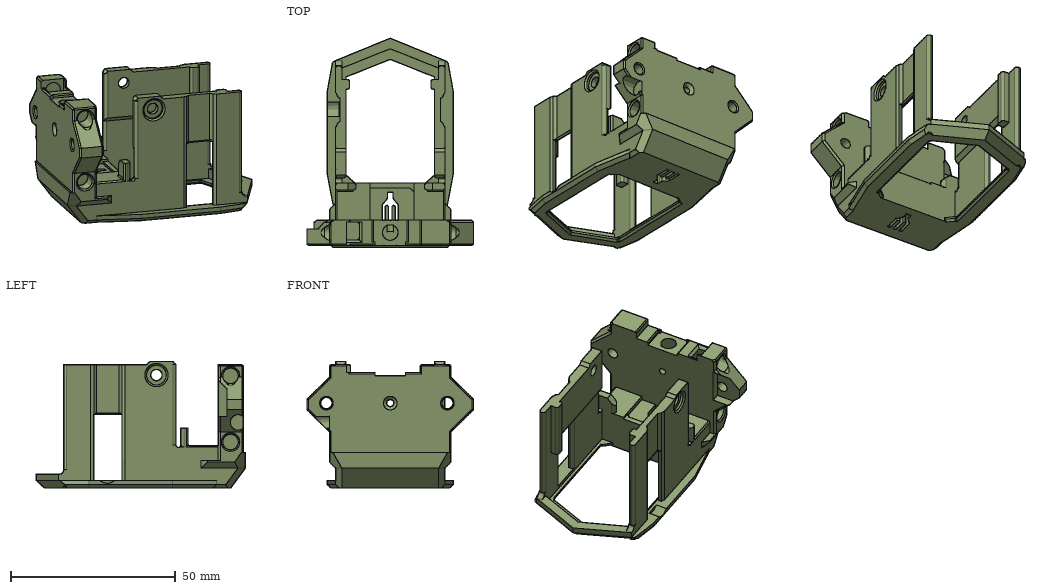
import cadquery as cq
import math


length = 63.8
width = 50.85
wing_half_width = width / 2
total_height = 38.6

wall_outer = 16.65
wall_inner = 14.75
wall_inner_thick = 13.45
wall_front = 21.1
wall_rear = 55.4
wall_top = 37.65
thick_rear = 51.25
thick_bottom = 22.45
wall_edge_radius = 0.95
thin_edge_radius = 0.9
slot_bottom = 12.4

ring_half_width = 19.2
ring_top = 2.35
ring_bevel = 1.1
ledge_top = 1.3
ledge_inner = 13.8
opening_bevel = 0.65
beam_top = 4.3
beam_end_y = 57.0

head_front = 0.65
head_rear = 8.3
head_half_width = 18.5
head_top = wall_top
nose_top = 10.85
nose_break = 6.05
nose_setback = 4.45
edge_break = 0.45
hole_z = 25.9

deck_top = 12.95
deck_rear = 19.7


def box(x, y, z):
    """Box spanning the three (low, high) ranges."""
    size = [high - low for low, high in (x, y, z)]
    return cq.Workplane("XY").box(*size, centered=False).translate((x[0], y[0], z[0]))


def plan(points, bottom, top):
    """Prism of an XY outline between two heights."""
    return cq.Workplane("XY", origin=(0, 0, bottom)).polyline(points).close().extrude(top - bottom)


def profile(points, front, rear):
    """Prism of an XZ outline between two Y positions."""
    return cq.Workplane("XZ", origin=(0, front, 0)).polyline(points).close().extrude(front - rear)


def side_profile(points, left, right):
    """Prism of a YZ outline between two X positions."""
    return cq.Workplane("YZ", origin=(left, 0, 0)).polyline(points).close().extrude(right - left)


def symmetric(points):
    """Close a right-hand outline with its mirror image across X = 0."""
    return points + [(-x, v) for x, v in reversed(points) if x > 0]


def both_sides(solid):
    """A right-hand solid together with its mirror image."""
    return solid.union(solid.mirror("YZ"))


def rod(diameter, start, end):
    """Cylinder between two points."""
    axis = cq.Vector(*end) - cq.Vector(*start)
    solid = cq.Solid.makeCylinder(diameter / 2, axis.Length, cq.Vector(*start), axis)
    return cq.Workplane(obj=solid)


def cone(start_diameter, end_diameter, start, end):
    """Conical frustum between two points."""
    axis = cq.Vector(*end) - cq.Vector(*start)
    solid = cq.Solid.makeCone(start_diameter / 2, end_diameter / 2, axis.Length, cq.Vector(*start), axis)
    return cq.Workplane(obj=solid)


def bevelled_plate(points, bevel, top):
    """Plate whose lower outer edge is bevelled at 45 degrees."""
    lower = cq.Workplane("XY", origin=(0, 0, bevel)).polyline(points).close().extrude(-bevel, taper=45)
    return lower.union(plan(points, bevel, top))


def base_ring():
    """Flat ring with a raised rear beam, bevelled all round on the underside."""
    deck_taper_y = 8.8
    outline = symmetric([
        (wall_outer, deck_taper_y),
        (ring_half_width, 22.2),
        (ring_half_width, 47.7),
        (17.7, 56.15),
        (17.3, 56.65),
        (0, length),
    ])
    beam_outline = symmetric([(wall_outer, 48.5), (wall_outer, beam_end_y), (0, length)])
    beam_slope = (length - beam_end_y) / wall_outer
    reach = 1.5 * ring_half_width
    envelope = symmetric([(reach, 0), (reach, length - beam_slope * reach), (0, length)])
    opening = symmetric([
        (10.85, deck_rear),
        (wall_inner_thick, 22.1),
        (ledge_inner, 22.1),
        (ledge_inner, thick_rear),
        (wall_inner_thick, thick_rear),
        (wall_inner_thick, 51.95),
        (0, 57.3),
    ])
    upper_opening = symmetric([(wall_inner, deck_rear), (wall_inner, 54.7), (0, 60.55)])
    ring = bevelled_plate(outline, ring_bevel, ring_top)
    ring = ring.union(plan(beam_outline, ring_bevel, beam_top))
    ring = ring.intersect(bevelled_plate(envelope, ring_top, beam_top))
    ring = ring.cut(plan(opening, 0, beam_top))
    wide_opening = cq.Workplane("XY").polyline(opening).close().offset2D(opening_bevel, "intersection")
    wide_opening = wide_opening.extrude(opening_bevel, taper=45)
    ring = ring.cut(wide_opening)
    return ring.cut(plan(upper_opening, ledge_top, beam_top))


def ring_groove():
    """Shallow round groove across the left edge of the ring."""
    diameter = 6.5
    depth = 0.9
    centre_z = ring_top - depth + diameter / 2
    centre_y = 42.1
    inner_end = -15.7
    return rod(diameter, (-ring_half_width, centre_y, centre_z), (inner_end, centre_y, centre_z))


def side_wall():
    """Right-hand wall: thin below and at the rear, thickened inward above."""
    thin = box((wall_inner, wall_outer), (wall_front, wall_rear), (0, wall_top))
    thin = thin.edges("|Z").edges("<Y").fillet(thin_edge_radius)
    thin = thin.edges("|Z").edges(">Y").fillet(thin_edge_radius)
    crest_rear = 30.1
    crest_slope = total_height - wall_top
    thick = side_profile(
        [
            (wall_front, thick_bottom),
            (wall_front, wall_top),
            (wall_front + crest_slope, total_height),
            (crest_rear - crest_slope, total_height),
            (crest_rear, wall_top),
            (thick_rear, wall_top),
            (thick_rear, thick_bottom),
        ],
        wall_inner_thick,
        wall_outer,
    )
    thick = thick.edges("|Z and <Y").fillet(wall_edge_radius)
    overhang = wall_inner - wall_inner_thick
    underside = profile(
        [
            (wall_inner_thick, thick_bottom),
            (wall_inner, thick_bottom),
            (wall_inner_thick, thick_bottom + overhang),
        ],
        wall_front,
        thick_rear,
    )
    rib_bottom = 18.95
    rib_front = 48.2
    rib_inner = 12.4
    rib_radius = 0.75
    rib = box((rib_inner, wall_inner), (rib_front, thick_rear), (rib_bottom, wall_top))
    rib = rib.edges("|Z and <X").fillet(rib_radius)
    slot_width = wall_front - deck_rear
    slot_y = (wall_front + deck_rear) / 2
    slot_z = slot_bottom + slot_width / 2
    sill = box((wall_inner, wall_outer), (deck_rear, wall_front + wall_edge_radius), (0, slot_z))
    sill = sill.cut(rod(slot_width, (wall_inner, slot_y, slot_z), (wall_outer, slot_y, slot_z)))
    return thin.union(thick.cut(underside)).union(rib).union(sill).union(root_fillet())


def root_fillet():
    """Concave fillet where the wall end meets the rear beam."""
    radius = 1.4
    return (
        cq.Workplane("YZ", origin=(wall_inner, 0, 0))
        .moveTo(wall_rear, beam_top - 0.65)
        .lineTo(wall_rear + radius, beam_top - 0.65)
        .lineTo(wall_rear + radius, beam_top)
        .radiusArc((wall_rear, beam_top + radius), radius)
        .lineTo(wall_rear - thin_edge_radius, beam_top + radius)
        .lineTo(wall_rear - thin_edge_radius, beam_top - 0.65)
        .close()
        .extrude(wall_outer - wall_inner)
    )


def wall_recess():
    """Outer recess with rounded flanks, opening into a window below the thick part of the wall."""
    centre_y = 41.9
    window_half = 4.3
    floor_x = 15.4
    flank_radius = 1.4
    arc_run = flank_radius * math.sin(math.radians(45))
    shoulder_x = wall_outer - flank_radius * (1 - math.cos(math.radians(45)))
    mouth_half = window_half + arc_run
    floor_half = window_half - (shoulder_x - floor_x)
    recess = (
        cq.Workplane("XY", origin=(0, centre_y, ring_top))
        .moveTo(wall_outer, mouth_half)
        .radiusArc((shoulder_x, window_half), -flank_radius)
        .lineTo(floor_x, floor_half)
        .lineTo(floor_x, -floor_half)
        .lineTo(shoulder_x, -window_half)
        .radiusArc((wall_outer, -mouth_half), -flank_radius)
        .close()
        .extrude(wall_top - ring_top)
    )
    jamb_radius = 0.9
    window = (
        cq.Workplane("XY", origin=(0, centre_y, ring_top))
        .moveTo(wall_outer, window_half)
        .lineTo(wall_inner + jamb_radius, window_half)
        .radiusArc((wall_inner, window_half + jamb_radius), jamb_radius)
        .lineTo(wall_inner, -window_half - jamb_radius)
        .radiusArc((wall_inner + jamb_radius, -window_half), jamb_radius)
        .lineTo(wall_outer, -window_half)
        .close()
        .extrude(thick_bottom - ring_top)
    )
    lip = profile(
        [(floor_x, thick_bottom), (floor_x, thick_bottom + edge_break), (floor_x - edge_break, thick_bottom)],
        centre_y - window_half,
        centre_y + window_half,
    )
    return recess.union(window).union(lip)


def wall_hole():
    """Through hole with a shallow chamfered counterbore on the outer face."""
    centre = (27.1, 34.45)
    hole_diameter = 3.4
    counterbore_diameter = 6.0
    mouth_diameter = 7.1
    counterbore_depth = 1.3
    chamfer = 0.5
    hole = rod(hole_diameter, (wall_inner_thick, *centre), (wall_outer, *centre))
    counterbore = rod(
        counterbore_diameter, (wall_outer - counterbore_depth, *centre), (wall_outer, *centre)
    )
    mouth = cone(
        counterbore_diameter, mouth_diameter, (wall_outer - chamfer, *centre), (wall_outer, *centre)
    )
    return hole.union(counterbore).union(mouth)


def nose_corner():
    """Cutter that bevels a front corner of the nose and widens downward."""
    bevel_x = 14.75
    depth_per_width = 1.2
    reach = 5.75
    bevel_y = reach * depth_per_width
    top_x = 17.5

    def triangle(work, x, y):
        return work.polyline([(x, y), (x + reach, y), (x + reach, y + bevel_y)]).close()

    lower = triangle(cq.Workplane("XY"), bevel_x, nose_setback)
    lower = triangle(lower.workplane(offset=nose_break), bevel_x, 0).loft(ruled=True)
    upper = triangle(cq.Workplane("XY", origin=(0, 0, nose_break)), bevel_x, 0)
    upper = triangle(upper.workplane(offset=nose_top - nose_break), top_x, 0).loft(ruled=True)
    return lower.union(upper)


def nose_and_deck():
    """Solid block under the deck with the sloped nose and the wider flange under the head."""
    flange_top = 8.4
    flange_rear = 11.6
    flange_drop = head_half_width - wall_outer
    nose_side = [(0, nose_top), (0, nose_break), (nose_setback, 0)]
    body = side_profile(
        nose_side + [(deck_rear, 0), (deck_rear, deck_top), (head_rear, deck_top), (head_rear, nose_top)],
        -wall_outer,
        wall_outer,
    )
    body = body.edges("|Y and >Z").edges("<X or >X").chamfer(edge_break)
    body = body.edges("|Y and <Z").edges("<X or >X").chamfer(ring_bevel)
    flange = plan(
        symmetric([
            (head_half_width, 0),
            (head_half_width, flange_rear),
            (wall_outer, flange_rear + flange_drop),
        ]),
        nose_break,
        flange_top,
    )
    flange = flange.intersect(profile(
        symmetric([
            (wall_outer, nose_break),
            (head_half_width, nose_break + flange_drop),
            (head_half_width, flange_top),
        ]),
        0,
        deck_rear,
    ))
    cheek = box((-head_half_width, head_half_width), (0, head_rear - 0.65), (flange_top, nose_top))
    return body.union(flange).union(cheek)


def deck_tab():
    """Upright tab at the rear corner of the deck, with a sloped inner top."""
    inner = 10.4
    slope_x = 12.8
    top = 18.25
    front = 17.5
    foot = 0.4
    corner_radius = 1.0
    tab = profile(
        [
            (inner, slot_bottom),
            (inner, top - (slope_x - inner)),
            (slope_x, top),
            (wall_outer, top),
            (wall_outer, slot_bottom),
        ],
        front,
        deck_rear,
    )
    tab = tab.edges("|Z and <X").fillet(corner_radius)
    tab = tab.edges("|Z and >X and >Y").fillet(corner_radius)
    tab = tab.edges("|Z and >X and <Y").chamfer(edge_break)
    flare = side_profile(
        [(front - foot, deck_top), (front, deck_top), (front, deck_top + foot)],
        inner + corner_radius,
        wall_outer - edge_break,
    )
    return tab.union(flare)


def deck_channel():
    """Cutter for a shallow channel with a deeper pocket and a bottle-shaped slot through the deck."""
    channel_left, channel_right = -6.2, 7.2
    corner = 1.15
    pocket_rear = 18.05
    step = 0.65
    channel = box((channel_left, channel_right), (head_rear, deck_rear), (deck_top - step, deck_top))
    pocket = plan(
        [
            (channel_left, head_rear),
            (channel_right, head_rear),
            (channel_right, pocket_rear - corner),
            (channel_right - corner, pocket_rear),
            (channel_left, pocket_rear),
        ],
        deck_top - 2 * step,
        deck_top,
    )
    slot = plan(
        symmetric([(2.4, head_rear), (2.4, 13.0), (0.95, 14.7), (0.75, 15.45), (0.75, 16.8)]), 0, deck_top
    )
    bar = plan(
        [(0.5, head_rear), (0.5, 12.5), (1.0, 12.9), (1.6, 12.5), (1.6, head_rear)], 0, deck_top - 2 * step
    )
    return channel.union(pocket).union(slot.cut(both_sides(bar)))


step_top = 35.3
wing_root_z = 33.8
left_step_x = -12.05
right_step_x = 9.1
top_break = 0.4


def head_blank():
    """Winged plate with a stepped top edge and its outer edges broken."""
    bottom = 8.3
    wing_bottom = 17.1
    tip_bottom, tip_top = 23.9, 27.05
    rear_chamfer = 0.65
    outline = [
        (-head_half_width, bottom),
        (head_half_width, bottom),
        (head_half_width, wing_bottom),
        (wing_half_width, tip_bottom),
        (wing_half_width, tip_top),
        (head_half_width, wing_root_z),
        (head_half_width, head_top),
        (right_step_x, head_top),
        (right_step_x, step_top),
        (left_step_x, step_top),
        (left_step_x, head_top),
        (-head_half_width, head_top),
        (-head_half_width, wing_root_z),
        (-wing_half_width, tip_top),
        (-wing_half_width, tip_bottom),
        (-head_half_width, wing_bottom),
    ]
    head = profile(outline, head_front, head_rear)
    head = head.edges("|Y and >Z").chamfer(top_break)
    head = head.faces("<Y").edges("not <Z").chamfer(edge_break)
    rear_edges = head.faces(">Y").edges()
    side_edges = [edge for edge in rear_edges.vals() if abs(edge.Center().x) > wall_outer]
    return head.newObject(side_edges).chamfer(rear_chamfer)


def head_relief():
    """Cuts in the top edge and behind the left wing."""
    notch_floor = 34.25
    notch_half = 5.1
    lip_half = 4.6
    lip_rear = 1.65
    notch_outline = symmetric([
        (notch_half, notch_floor),
        (notch_half, step_top - top_break),
        (notch_half + top_break, step_top),
    ])
    notch = profile(notch_outline, lip_rear, head_rear)
    notch = notch.union(box((-lip_half, lip_half), (head_front, head_rear), (notch_floor, head_top)))
    relief_front = 5.7
    relief_floor = 21.8
    relief_roof = 30.3
    relief_end_x = -17.75
    wing_cut = side_profile(
        [
            (relief_front, relief_floor),
            (relief_front, relief_roof),
            (head_rear, relief_roof + head_rear - relief_front),
            (head_rear, relief_floor),
        ],
        -wing_half_width,
        relief_end_x,
    )
    return notch.union(wing_cut)


def head_pocket():
    """Blind rounded pocket on the left step, with a clearance cut in the block beside it."""
    left, right = -13.4, -9.45
    front, rear = 2.3, 7.8
    floor = 31.9
    rim = 0.8
    pocket = box((left, right), (front, rear), (floor, step_top)).edges("|Z and >X").fillet(0.75)
    bevel = (
        cq.Workplane("XY", origin=(0, 0, step_top))
        .polyline([
            (left - rim, front - rim),
            (right + rim, front - rim),
            (right + rim, rear + rim),
            (left - rim, rear + rim),
        ])
        .close()
        .extrude(-rim, taper=45)
        .intersect(box((left, right + rim), (front - rim, rear), (floor, step_top)))
    )
    clearance = box((left, left_step_x), (head_front, rear), (step_top, head_top))
    return pocket.union(bevel).union(clearance)


def head_holes():
    """Cutters for all holes in the head plate."""
    clearance_diameter = 3.4
    screw_diameter = 2.1
    mouth_front = 4.15
    bore_diameter = 4.7
    holes = []
    mouth_end = head_front + (mouth_front - clearance_diameter) / 2
    for x in (-19.45, 17.4):
        holes.append(rod(clearance_diameter, (x, head_front, hole_z), (x, head_rear, hole_z)))
        holes.append(cone(mouth_front, clearance_diameter, (x, head_front, hole_z), (x, mouth_end, hole_z)))
    screw_end = head_front + (mouth_front - screw_diameter) / 2
    holes.append(rod(screw_diameter, (0, head_front, hole_z), (0, head_rear, hole_z)))
    holes.append(cone(mouth_front, screw_diameter, (0, head_front, hole_z), (0, screw_end, hole_z)))
    bore_y = 4.5
    bore_end = hole_z + 1.3
    screw_width = (-screw_diameter / 2, screw_diameter / 2)
    holes.append(rod(bore_diameter, (0, bore_y, bore_end), (0, bore_y, head_top)))
    holes.append(box(screw_width, (bore_y + 0.3, bore_y + bore_diameter / 2), (hole_z, bore_end)))
    bore_floor = head_half_width - 4.8
    chamfer = 0.45
    mouth_diameter = bore_diameter + 2 * chamfer
    lower_z, upper_z = 14.05, 34.2
    slope_mouth_x = 20.05
    slope_mouth_length = 1.3
    flat_side = box((-wing_half_width, wing_half_width), (head_front, head_rear), (wing_root_z, head_top))
    for side in (-1, 1):
        outside = side * wing_half_width
        face = side * head_half_width
        neck = side * (head_half_width - chamfer)
        for z in (lower_z, upper_z):
            holes.append(rod(bore_diameter, (side * bore_floor, bore_y, z), (outside, bore_y, z)))
        lower_mouth = cone(bore_diameter, mouth_diameter, (neck, bore_y, lower_z), (face, bore_y, lower_z))
        upper_mouth = cone(bore_diameter, mouth_diameter, (neck, bore_y, upper_z), (face, bore_y, upper_z))
        slope_mouth = cone(
            bore_diameter,
            bore_diameter + slope_mouth_length,
            (side * slope_mouth_x, bore_y, upper_z),
            (side * (slope_mouth_x + slope_mouth_length), bore_y, upper_z),
        )
        holes += [lower_mouth, upper_mouth.intersect(flat_side), slope_mouth]
    scoop = (2.25, 20.05)
    holes.append(rod(bore_diameter, (-wing_half_width, *scoop), (-head_half_width, *scoop)))
    return holes


head = head_blank().cut(head_relief()).cut(head_pocket())
for hole in head_holes():
    head = head.cut(hole)

walls = both_sides(side_wall().cut(wall_recess()).cut(wall_hole()))

result = base_ring().union(walls).union(nose_and_deck()).union(both_sides(deck_tab())).union(head)
result = result.cut(ring_groove()).cut(deck_channel()).cut(both_sides(nose_corner()))